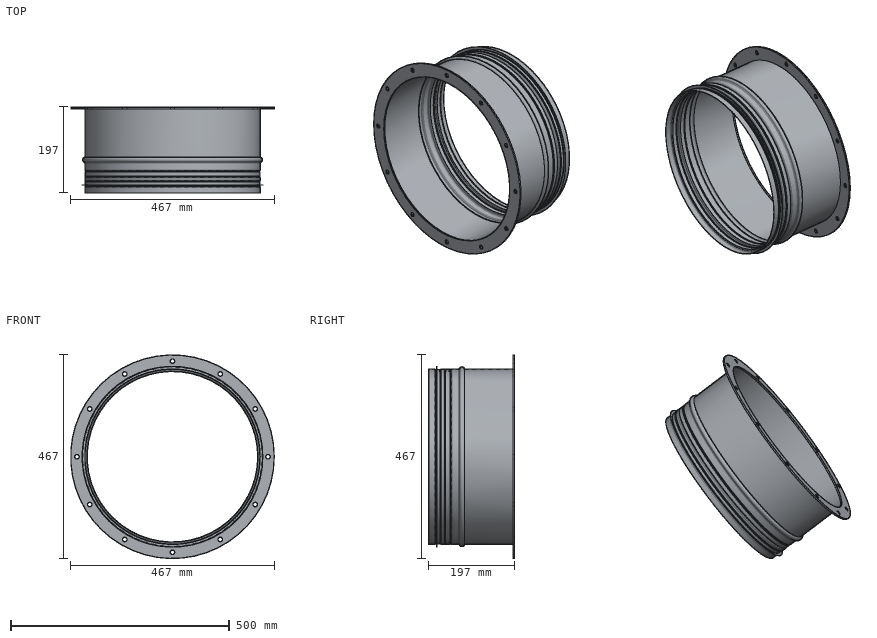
import cadquery as cq
import math

flange_diameter = 467.0
total_length = 197.0
flange_thickness = 3.7
bolt_circle_diameter = 438.0
bolt_hole_diameter = 10.0
bolt_hole_count = 12

pipe_diameter = 402.5
wall = 1.0
bead_diameter = 413.0
bead_start = 70.5
bead_width = 12.0
bead_foot_radius = 2.5
groove_diameter = 392.5
bend_radius = 1.5
front_groove_start = 13.5
front_groove_width = 16.5
rear_groove_start = 35.0
rear_groove_width = 18.0

front_ring_diameter = 400.5
front_ring_start = 17.0
front_ring_width = 9.5
rear_ring_diameter = 401.5
rear_ring_start = 39.0
rear_ring_width = 10.0
lip_diameter = 414.5
lip_thickness = 0.5
lip_start = 18.5

pipe_radius = pipe_diameter / 2
bead_radius = bead_diameter / 2
groove_radius = groove_diameter / 2
front_face = -total_length / 2
back_face = total_length / 2
arc_middle = 1 - math.sqrt(0.5)


def add_groove(path, start, width, depth):
    """Carry the outline of the sheet, at this depth below its outer skin, through one groove."""
    top = pipe_radius - depth
    bottom = groove_radius - depth
    crest = bend_radius + wall / 2 - depth
    root = bend_radius - wall / 2 + depth
    front_wall = front_face + start + bend_radius + wall / 2 - depth
    back_wall = front_face + start + width - bend_radius - wall / 2 + depth
    crest_drop = crest * arc_middle
    root_rise = root * arc_middle
    return (
        path.lineTo(top, front_wall - crest)
        .threePointArc((top - crest_drop, front_wall - crest_drop), (top - crest, front_wall))
        .lineTo(bottom + root, front_wall)
        .threePointArc((bottom + root_rise, front_wall + root_rise), (bottom, front_wall + root))
        .lineTo(bottom, back_wall - root)
        .threePointArc((bottom + root_rise, back_wall - root_rise), (bottom + root, back_wall))
        .lineTo(top - crest, back_wall)
        .threePointArc((top - crest_drop, back_wall + crest_drop), (top, back_wall + crest))
    )


def add_bead(path, depth):
    """Carry the same outline over the bead: a foot blend at the front, then one round arc."""
    half_width = bead_width / 2
    height = bead_radius - pipe_radius
    skin_radius = (half_width**2 + height**2) / (2 * height)
    centre_x = bead_radius - skin_radius
    centre_y = front_face + bead_start + half_width
    bead_arc = skin_radius - depth
    foot_arc = bead_foot_radius + depth

    foot_x = pipe_radius + bead_foot_radius
    reach = skin_radius + bead_foot_radius
    foot_y = centre_y - math.sqrt(reach**2 - (foot_x - centre_x) ** 2)
    foot_angle = math.atan2(foot_y - centre_y, foot_x - centre_x)
    join = (centre_x + bead_arc * math.cos(foot_angle), centre_y + bead_arc * math.sin(foot_angle))
    middle_angle = math.pi + foot_angle / 2
    foot_middle = (foot_x + foot_arc * math.cos(middle_angle), foot_y + foot_arc * math.sin(middle_angle))

    base = pipe_radius - depth
    back_y = centre_y + math.sqrt(bead_arc**2 - (base - centre_x) ** 2)
    return (
        path.lineTo(base, foot_y)
        .threePointArc(foot_middle, join)
        .threePointArc((bead_radius - depth, centre_y), (base, back_y))
    )


def pipe_envelope(depth):
    """Solid of revolution inside the sheet's surface at this depth below its outer skin."""
    radius = pipe_radius - depth
    path = cq.Workplane("XY").moveTo(0, front_face).lineTo(radius, front_face)
    path = add_groove(path, front_groove_start, front_groove_width, depth)
    path = add_groove(path, rear_groove_start, rear_groove_width, depth)
    path = add_bead(path, depth)
    outline = path.lineTo(radius, back_face).lineTo(0, back_face).close()
    return outline.revolve(360, (0, 0, 0), (0, 1, 0))


def make_pipe():
    return pipe_envelope(0).cut(pipe_envelope(wall))


def flat_ring(outer_radius, inner_radius, start, width):
    """Plain ring around the axis, its front face this far from the open end."""
    plane = cq.Workplane("XZ", origin=(0, front_face + start, 0))
    return plane.circle(outer_radius).circle(inner_radius).extrude(-width)


def make_flange():
    start = total_length - flange_thickness
    blank = flat_ring(flange_diameter / 2, pipe_radius, start, flange_thickness)
    holes = (
        cq.Workplane("XZ", origin=(0, front_face + start, 0))
        .polarArray(bolt_circle_diameter / 2, 0, 360, bolt_hole_count)
        .circle(bolt_hole_diameter / 2)
        .extrude(-flange_thickness)
    )
    return blank.cut(holes)


def make_front_seal():
    band = flat_ring(front_ring_diameter / 2, groove_radius, front_ring_start, front_ring_width)
    lip = flat_ring(lip_diameter / 2, groove_radius, lip_start, lip_thickness)
    return band.union(lip)


def make_rear_seal():
    return flat_ring(rear_ring_diameter / 2, groove_radius, rear_ring_start, rear_ring_width)


pipe = make_pipe()
flange = make_flange()
front_seal = make_front_seal()
rear_seal = make_rear_seal()

result = cq.Compound.makeCompound([pipe.val(), flange.val(), front_seal.val(), rear_seal.val()])